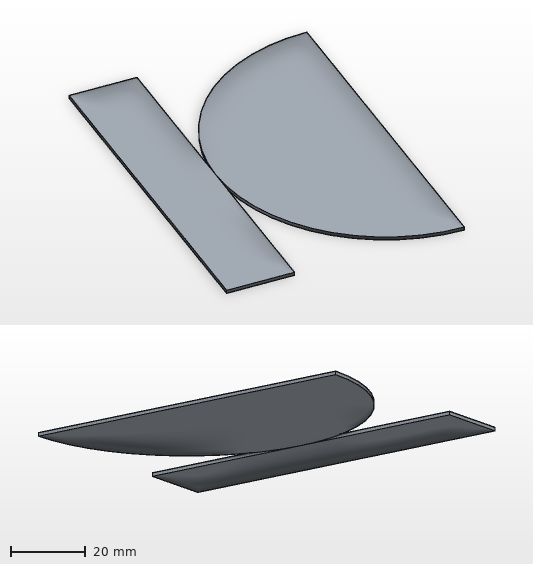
import cadquery as cq

length = 100.0
thickness = 1.0
strip_width = 20.0
radius = length / 2


def make_strip():
    """Flat rectangular strip whose rear edge lies on the X axis."""
    return cq.Workplane("XY").box(length, strip_width, thickness, centered=(True, False, False)).translate(
        (0, -strip_width, 0)
    )


def make_half_disc():
    """Half disc with its straight edge at the rear, its arc tangent to the strip."""
    return (
        cq.Workplane("XY")
        .moveTo(-radius, radius)
        .threePointArc((0, 0), (radius, radius))
        .close()
        .extrude(thickness)
    )


strip = make_strip()
half_disc = make_half_disc()

result = cq.Compound.makeCompound([strip.val(), half_disc.val()])